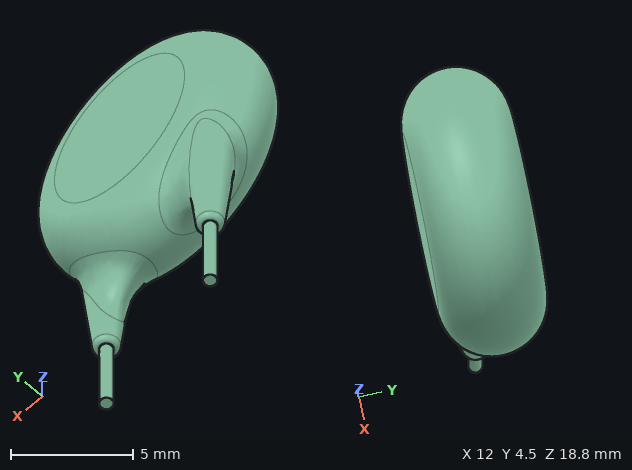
import cadquery as cq
import math

disc_diameter = 12.0
disc_thickness = 4.5
edge_radius = disc_thickness / 2
flat_radius = disc_diameter / 2 - edge_radius

lead_diameter = 0.6
lead_spacing = 7.5
lead_stagger = 1.4
lead_x = math.sqrt(lead_spacing**2 - lead_stagger**2) / 2
lead_y = lead_stagger / 2
lead_bottom_z = -12.8
lead_positions = [(-lead_x, lead_y), (lead_x, -lead_y)]

sleeve_bottom_z = -9.0
sleeve_top_z = -2.0
sleeve_tip_radius = 0.6
sleeve_taper = math.radians(6)
sleeve_tip_rounding = 0.25
sleeve_blend_radius = 2.0
taper_start_z = sleeve_bottom_z + sleeve_tip_rounding
sleeve_top_radius = sleeve_tip_radius + (sleeve_top_z - taper_start_z) * math.tan(sleeve_taper)


def make_disc():
    """Disc with a fully rounded rim, revolved about Y."""
    return (
        cq.Workplane("XY")
        .moveTo(0, -edge_radius)
        .lineTo(flat_radius, -edge_radius)
        .threePointArc((flat_radius + edge_radius, 0), (flat_radius, edge_radius))
        .lineTo(0, edge_radius)
        .close()
        .revolve(360, (0, 0, 0), (0, 1, 0))
    )


def make_sleeve(x, y):
    """Tapered sleeve that ends inside the disc, with a rounded lower rim."""
    rounding_reach = sleeve_tip_rounding * math.sqrt(0.5)
    rounding_centre_radius = sleeve_tip_radius - sleeve_tip_rounding
    return (
        cq.Workplane("XZ")
        .moveTo(0, sleeve_bottom_z)
        .lineTo(rounding_centre_radius, sleeve_bottom_z)
        .threePointArc(
            (rounding_centre_radius + rounding_reach, taper_start_z - rounding_reach),
            (sleeve_tip_radius, taper_start_z),
        )
        .lineTo(sleeve_top_radius, sleeve_top_z)
        .lineTo(0, sleeve_top_z)
        .close()
        .revolve(360, (0, 0, 0), (0, 1, 0))
        .translate((x, y, 0))
    )


def is_joint(edge):
    """True for the freeform edges where a sleeve leaves the disc."""
    return edge.geomType() == "BSPLINE"


def make_body():
    """Disc and sleeves in one solid, with a fillet round each joint.

    Face merging is left off because it spoils the freeform joint edges.
    """
    body = make_disc()
    for x, y in lead_positions:
        body = body.union(make_sleeve(x, y), clean=False)
    joints = [edge for edge in body.edges().vals() if is_joint(edge)]
    return body.newObject(joints).fillet(sleeve_blend_radius)


def make_lead(x, y):
    """Straight round wire below a sleeve, meeting the sleeve's lower face."""
    return (
        cq.Workplane("XY", origin=(x, y, lead_bottom_z))
        .circle(lead_diameter / 2)
        .extrude(sleeve_bottom_z - lead_bottom_z)
    )


body = make_body()
leads = [make_lead(x, y) for x, y in lead_positions]

result = cq.Compound.makeCompound([body.val(), *[lead.val() for lead in leads]])